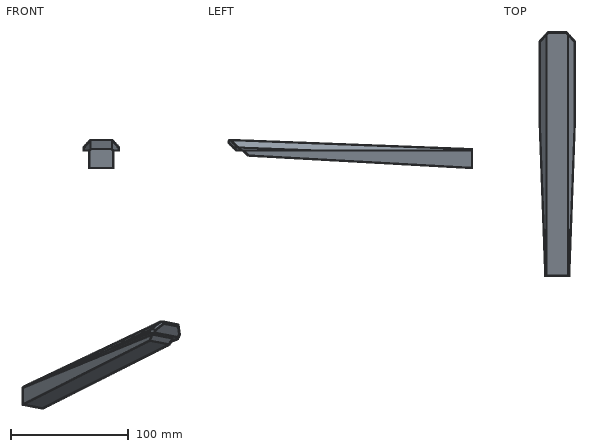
import cadquery as cq

length = 207.0
width = 30.0
height = 24.0

top_width = 18.0
body_width = 20.5
front_height = 16.2
flange_z = 15.0
side_drop = 6.2

ramp_y = 190.0
ramp_z = 10.5
body_end_y = ramp_y + flange_z - ramp_z

end_bevel = 3.1
end_overrun = end_bevel * 0.5**0.5
tip_y = length + end_overrun
top_slope = (height - front_height) / length
tip_z = front_height + top_slope * tip_y


def side_extrusion(outline, full_width):
    """Extrude a closed (y, z) outline symmetrically about the X centre."""
    return cq.Workplane("YZ").polyline(outline).close().extrude(full_width / 2, both=True)


def section_wire():
    """Front cross-section with a flat top, sloping sides and short upright edges."""
    shoulder_z = front_height - side_drop
    base_z = front_height - 2 * side_drop
    points = [
        (-width / 2, base_z),
        (width / 2, base_z),
        (width / 2, shoulder_z),
        (top_width / 2, front_height),
        (-top_width / 2, front_height),
        (-width / 2, shoulder_z),
    ]
    return cq.Wire.makePolygon([cq.Vector(x, 0, z) for x, z in points], close=True)


def make_head():
    """Flanged upper part: swept along the top slope, flat below and raked at the rear."""
    sweep = cq.Vector(0, tip_y, tip_z - front_height)
    bar = cq.Workplane(obj=cq.Solid.extrudeLinear(section_wire(), [], sweep))
    side_outline = [
        (0, flange_z),
        (tip_y - (tip_z - flange_z), flange_z),
        (tip_y, tip_z),
        (0, tip_z),
    ]
    return bar.intersect(side_extrusion(side_outline, width))


def bevel_rear(head):
    """Bevel the top, sloping and upright edges around the raked rear face."""
    return head.faces(">Y").edges("not(<Z)").chamfer(end_bevel)


def make_body():
    """Lower bar, deepest at the front."""
    outline = [(0, 0), (ramp_y, ramp_z), (body_end_y, flange_z), (0, flange_z)]
    return side_extrusion(outline, body_width)


result = bevel_rear(make_head()).union(make_body())